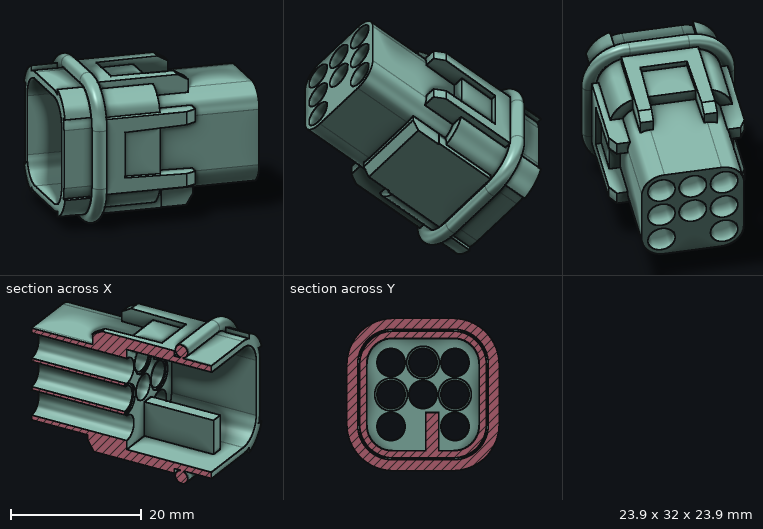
import cadquery as cq

LENGTH = 32.0
CORNER_CENTRE = 4.65

SHELL_HALF = 9.73
SHELL_END = 15.52
REAR_HALF = 7.97
REAR_RADIUS = 3.52

CAVITY_HALF = 8.58
CAVITY_RADIUS = 3.85
CAVITY_DEPTH = 15.05

SEAL_HALF = 11.97
SEAL_DIAMETER = 2.27
SEAL_Y = 5.35

PAD_HALF = 10.53
PAD_NOTCH_HALF = 6.45
PAD_END = 4.2

PIN_DIAMETER = 4.25
PIN_PITCH = 4.9
RECESS_DIAMETER = 5.02
RECESS_DEPTH = 0.32
PIN_CELLS = [(-1, 1), (0, 1), (1, 1), (-1, 0), (0, 0), (1, 0), (-1, -1), (1, -1)]
RECESSED_CELLS = [(0, 1), (-1, 0), (1, 0)]

KEY_LEFT = 0.4
KEY_WIDTH = 2.05
KEY_TOP = -2.72
KEY_FRONT = 2.75

RAIL_HALF_WIDTH = 6.0
RAIL_OUTER = 10.62
RAIL_START = 6.55
RAIL_END = 21.2
RAIL_CHAMFER_LENGTH = 1.7
RAIL_CHAMFER_DROP = 0.95
POCKET_START = 9.55
POCKET_HALF_FRONT = 3.65
POCKET_HALF_REAR = 3.97

LATCH_OUTER = 10.53
LATCH_STEP = 16.85
LATCH_END = 22.0
LATCH_CHAMFER_LENGTH = 1.05
LATCH_CHAMFER_DROP = 1.7
LATCH_REAR_HALF_WIDTH = 5.82
LATCH_BEVEL_TOP = 7.68
LATCH_BEVEL_BOTTOM = 8.5


def y_plane(y):
    """Work plane at the given Y, with local x along X, local y along Z and normal toward -Y."""
    return cq.Workplane(cq.Plane(origin=(0, y, 0), xDir=(1, 0, 0), normal=(0, -1, 0)))


def rounded_prism(half, radius, start, end):
    """Rounded square bar centred on the Y axis."""
    bar = y_plane(start).rect(2 * half, 2 * half).extrude(start - end)
    return bar.edges("|Y").fillet(radius)


def make_body():
    shell = rounded_prism(SHELL_HALF, SHELL_HALF - CORNER_CENTRE, 0, SHELL_END)
    rear = rounded_prism(REAR_HALF, REAR_RADIUS, CAVITY_DEPTH, LENGTH)
    return shell.union(rear)


def make_corner_pads():
    pads = rounded_prism(PAD_HALF, PAD_HALF - CORNER_CENTRE, 0, PAD_END)
    gap = 2 * PAD_NOTCH_HALF
    across = 2 * SEAL_HALF
    cross = y_plane(0).rect(gap, across).extrude(-PAD_END)
    cross = cross.union(y_plane(0).rect(across, gap).extrude(-PAD_END))
    return pads.cut(cross)


def make_seal():
    """Round-section ring that follows a rounded square path."""
    path_half = SEAL_HALF - SEAL_DIAMETER / 2
    path_prism = rounded_prism(path_half, path_half - CORNER_CENTRE, SEAL_Y, SHELL_END)
    path = path_prism.faces("<Y").wires()
    start = cq.Workplane("YZ").center(SEAL_Y, path_half)
    return start.circle(SEAL_DIAMETER / 2).sweep(path)


def make_rail():
    """U-shaped rail on the +Z side, open toward the rear, with chamfered ends."""
    profile = [
        (RAIL_START, 0),
        (RAIL_START, RAIL_OUTER),
        (RAIL_END - RAIL_CHAMFER_LENGTH, RAIL_OUTER),
        (RAIL_END, RAIL_OUTER - RAIL_CHAMFER_DROP),
        (RAIL_END, 0),
    ]
    rail = cq.Workplane("YZ").polyline(profile).close().extrude(RAIL_HALF_WIDTH, both=True)
    pocket = [
        (-POCKET_HALF_FRONT, POCKET_START),
        (POCKET_HALF_FRONT, POCKET_START),
        (POCKET_HALF_REAR, RAIL_END),
        (-POCKET_HALF_REAR, RAIL_END),
    ]
    return rail.cut(cq.Workplane("XY").polyline(pocket).close().extrude(RAIL_OUTER))


def make_latch():
    """Latch block on the -Z side: a beveled front part and a slightly narrower chamfered rear part."""
    front_section = [
        (-LATCH_REAR_HALF_WIDTH, -LATCH_BEVEL_TOP),
        (-RAIL_HALF_WIDTH, -LATCH_BEVEL_BOTTOM),
        (-RAIL_HALF_WIDTH, -LATCH_OUTER),
        (RAIL_HALF_WIDTH, -LATCH_OUTER),
        (RAIL_HALF_WIDTH, -LATCH_BEVEL_BOTTOM),
        (LATCH_REAR_HALF_WIDTH, -LATCH_BEVEL_TOP),
    ]
    front = y_plane(RAIL_START).polyline(front_section).close().extrude(RAIL_START - LATCH_STEP)
    rear_profile = [
        (LATCH_STEP, 0),
        (LATCH_END, 0),
        (LATCH_END, LATCH_CHAMFER_DROP - LATCH_OUTER),
        (LATCH_END - LATCH_CHAMFER_LENGTH, -LATCH_OUTER),
        (LATCH_STEP, -LATCH_OUTER),
    ]
    rear = cq.Workplane("YZ").polyline(rear_profile).close().extrude(LATCH_REAR_HALF_WIDTH, both=True)
    return front.union(rear)


def make_pin_holes():
    def centres(cells):
        return [(column * PIN_PITCH, row * PIN_PITCH) for column, row in cells]

    holes = y_plane(0).pushPoints(centres(PIN_CELLS)).circle(PIN_DIAMETER / 2).extrude(-LENGTH)
    recesses = y_plane(CAVITY_DEPTH).pushPoints(centres(RECESSED_CELLS))
    return holes.union(recesses.circle(RECESS_DIAMETER / 2).extrude(-RECESS_DEPTH))


def make_key():
    """Keying rib standing on the cavity floor, joined to its lower wall."""
    height = KEY_TOP + CAVITY_HALF
    key = cq.Workplane("XY").box(KEY_WIDTH, CAVITY_DEPTH - KEY_FRONT, height, centered=False)
    return key.translate((KEY_LEFT, KEY_FRONT, -CAVITY_HALF))


result = make_body()
result = result.union(make_corner_pads())
for angle in (-90, 0, 90):
    result = result.union(make_rail().rotate((0, 0, 0), (0, 1, 0), angle))
result = result.union(make_latch())
result = result.union(make_seal())
result = result.cut(rounded_prism(CAVITY_HALF, CAVITY_RADIUS, 0, CAVITY_DEPTH))
result = result.union(make_key())
result = result.cut(make_pin_holes())